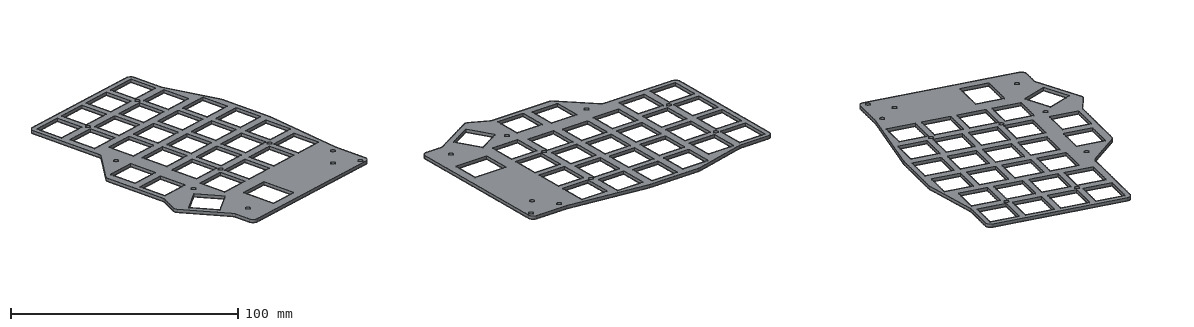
import cadquery as cq


length = 134.81
depth = 98.31
thickness = 1.6
corner_radius = 2.5
left_x = -length / 2
right_x = length / 2
rear_y = depth / 2
front_y = -depth / 2

switch_size = 14.0
column_pitch = 18.0
row_pitch = 17.0
row_count = 4
first_column_x = -57.85
first_column_y = 6.85
column_stagger = [0.0, 1.0, 6.0, 7.25, 6.0, 3.6]

thumb_switches = [
    (first_column_x + 3 * column_pitch, -33.35, 0),
    (14.2, -34.7, 0),
    (39.45, -34.7, 30),
]

window_length = 17.0
window_depth = 14.0
window_center = (54.5, -10.2)

hole_diameter = 2.2
left_hole_x = -49.0
middle_hole_x = 23.2
right_hole_x = 57.4
front_hole_y = -28.2
rear_hole_spacing = 15.6
rear_hole_y = 40.2
hole_points = [
    (left_hole_x, 24.5),
    (left_hole_x, -9.6),
    (middle_hole_x, 28.5),
    (middle_hole_x, -5.4),
    (-17.7, front_hole_y),
    (26.4, front_hole_y),
    (right_hole_x, front_hole_y),
    (right_hole_x, 30.8),
    (right_hole_x - rear_hole_spacing / 2, rear_hole_y),
    (right_hole_x + rear_hole_spacing / 2, rear_hole_y),
]

left_rear_y = 41.7
left_front_y = -28.1
right_rear_y = 43.9
right_front_y = -36.2
thumb_front_y = -44.3

rear_slope_start_x = -49.4
rear_crest_left_x = -21.1
rear_crest_right_x = 6.4
rear_slope_end_x = 48.3
right_front_bend_x = 56.2
tip_x = 33.2
tip_overshoot = 0.34
thumb_right_x = 22.9
thumb_left_x = -10.1
left_front_bend_x = -26.4

outline_points = [
    (left_x, left_rear_y),
    (rear_slope_start_x, left_rear_y),
    (rear_crest_left_x, rear_y),
    (rear_crest_right_x, rear_y),
    (rear_slope_end_x, right_rear_y),
    (right_x, right_rear_y),
    (right_x, right_front_y),
    (right_front_bend_x, right_front_y),
    (tip_x, front_y - tip_overshoot),
    (thumb_right_x, thumb_front_y),
    (thumb_left_x, thumb_front_y),
    (left_front_bend_x, left_front_y),
    (left_x, left_front_y),
]


def make_blank():
    """Solid plate with every outline corner rounded."""
    blank = cq.Workplane("XY").polyline(outline_points).close().extrude(thickness)
    return blank.edges("|Z").fillet(corner_radius)


def rectangle_cutter(size_x, size_y, x, y, angle=0):
    """Upright block through the plate, turned by angle about its own centre."""
    cutter = cq.Workplane("XY").rect(size_x, size_y).extrude(thickness)
    return cutter.rotate((0, 0, 0), (0, 0, 1), angle).translate((x, y, 0))


def cut_switch_matrix(plate):
    """Square openings in staggered columns."""
    for column, stagger in enumerate(column_stagger):
        x = first_column_x + column * column_pitch
        for row in range(row_count):
            y = first_column_y + stagger + (row - (row_count - 1) / 2) * row_pitch
            plate = plate.cut(rectangle_cutter(switch_size, switch_size, x, y))
    return plate


def cut_thumb_switches(plate):
    """Square openings of the thumb cluster."""
    for x, y, angle in thumb_switches:
        plate = plate.cut(rectangle_cutter(switch_size, switch_size, x, y, angle))
    return plate


def cut_window(plate):
    """Rectangular opening on the right."""
    return plate.cut(rectangle_cutter(window_length, window_depth, *window_center))


def cut_holes(plate):
    """Round through holes."""
    cutters = cq.Workplane("XY").pushPoints(hole_points).circle(hole_diameter / 2).extrude(thickness)
    return plate.cut(cutters)


plate = make_blank()
plate = cut_switch_matrix(plate)
plate = cut_thumb_switches(plate)
plate = cut_window(plate)
result = cut_holes(plate)